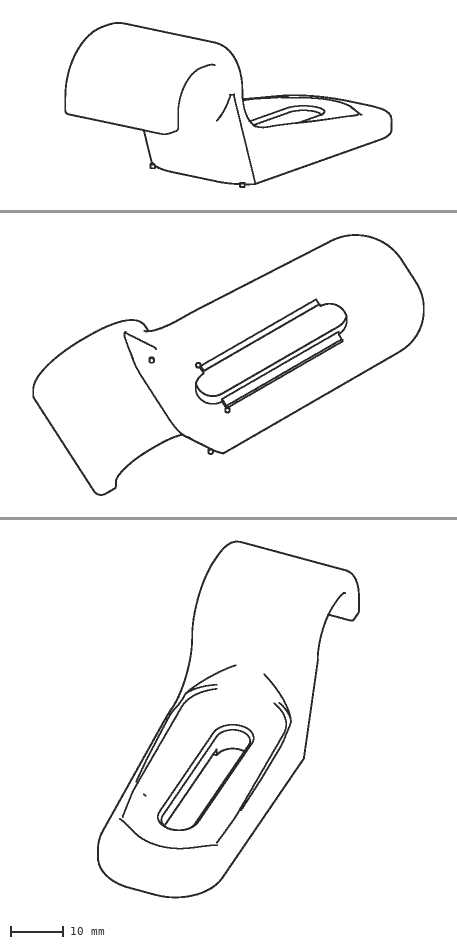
import cadquery as cq
import math

WIDTH = 25.2
HALF_WIDTH = WIDTH / 2
LENGTH = 77.6

HOOK_RADIUS = 11.7
HOOK_WALL = 4.3
HOOK_CENTRE_Z = 19.55
HOOK_HALF_SPAN = HALF_WIDTH
HOOK_END_Z = 16.15
HOOK_TOP_Z = HOOK_CENTRE_Z + HOOK_RADIUS
CROWN_HALF = HOOK_HALF_SPAN - HOOK_RADIUS
BORE_RADIUS = HOOK_RADIUS - HOOK_WALL
BORE_HALF_SPAN = HOOK_HALF_SPAN - HOOK_WALL

TIP_Y = LENGTH - HOOK_HALF_SPAN
TIP_CORNER_RADIUS = 9.85
SHOULDER_Z = 10.1
THROAT_RADIUS = 8.9
SHOULDER_END_Y = 22.1
SLOPE_ANGLE = math.radians(9.5)
CREST_RADIUS = 19.4
CREST_END_Y = SHOULDER_END_Y + CREST_RADIUS * math.sin(SLOPE_ANGLE)
CREST_END_Z = SHOULDER_Z - CREST_RADIUS * (1 - math.cos(SLOPE_ANGLE))

HEEL_Y = 12.65
HEEL_LEAN = 0.355
HEEL_FLAT_HALF = 5.5
HEEL_ARC_MIDDLE = math.radians(30)
LEDGE_START_Z = 17.45
LEDGE_Z = 13.6
LEDGE_RADIUS = 3.1

FLOOR_Z = 5.35
RECESS_CENTRE_Y = 20.9
RECESS_RADIUS = 8.6
RECESS_FLARE_Y = 43.6
RECESS_END_Y = 52.1
RECESS_END_HALF_WIDTH = 9.8
LIP_FOOT_HALF_WIDTH = 10.6
LIP_FOOT_DROP = 0.85
LIP_FOOT_RISE = 0.2
LIP_END_HALF_WIDTH = 10.25
MOUTH_HALF_WIDTH = 11.7
MOUTH_DROP = 0.195
MOUTH_RISE = 0.4
MOUTH_END_DEPTH = 8.15
RECESS_FLOOR_FILLET = 0.8
SLOT_FAR_Y = 47.1
SLOT_RADIUS = 3.3
SLOT_CHAMFER = 0.7
RELIEF_HALF_WIDTH = 5.0
RELIEF_DEPTH = 1.5
PAD_END_Y = 56.7
PAD_RADIUS = 10.3
PAD_SIDE_ANGLE = math.radians(35)
PAD_HALF_WIDTH = 10.25
PAD_DRAFT = 45
PAD_DEPTH = 2.3
PAD_FILLET = 1.2
PAD_FOOT_TOLERANCE = 0.12

OUTER_FILLET = 1.6
SMALL_FILLET = 0.6
HOOK_END_FILLET = 0.58
BASE_FILLET = 0.5

FOOT_HEIGHT = 0.2
FOOT_RADIUS = 0.5
FOOT_SPOTS = [(5.35, 20.9), (10.9, 13.7)]

ARC_45 = math.sqrt(0.5)
TOLERANCE = 0.01


def heel_y(z):
    """Y of the slanted heel face at height z."""
    return HEEL_Y - HEEL_LEAN * z


def slope_z(y):
    """Height of the sloping top of the base at y."""
    return CREST_END_Z - (y - CREST_END_Y) * math.tan(SLOPE_ANGLE)


def extrude_profile(profile):
    """Extrude a closed YZ profile over the full width, centred on X."""
    return profile.close().extrude(HALF_WIDTH, both=True)


def fillet_edges(body, radius, is_wanted):
    """Fillet every edge of the body for which is_wanted(edge) is true."""
    wanted = [edge for edge in body.edges().vals() if is_wanted(edge)]
    return body.newObject(wanted).fillet(radius)


def is_outer_edge(edge):
    """True for the rim of the top: the side edges along it and the edges around the tip."""
    box = edge.BoundingBox()
    centre = edge.Center()
    on_underside = box.zmax < TOLERANCE
    on_heel = abs(centre.y - heel_y(centre.z)) < TOLERANCE
    below_hook = abs(box.zmax - HOOK_END_Z) < TOLERANCE
    across = box.xlen > WIDTH - TOLERANCE
    upright = box.xlen + box.ylen < TOLERANCE and centre.y > HOOK_HALF_SPAN + TOLERANCE
    return not (on_underside or on_heel or below_hook or across or upright)


def make_outer_body():
    """Base and hook with the bore still filled, rounded along the upper outer edges."""
    throat_y = HOOK_HALF_SPAN + THROAT_RADIUS
    throat_z = SHOULDER_Z + THROAT_RADIUS
    half_slope = SLOPE_ANGLE / 2
    profile = (
        cq.Workplane("YZ")
        .moveTo(HEEL_Y, 0)
        .lineTo(TIP_Y, 0)
        .lineTo(TIP_Y, slope_z(TIP_Y))
        .lineTo(CREST_END_Y, CREST_END_Z)
        .threePointArc(
            (
                SHOULDER_END_Y + CREST_RADIUS * math.sin(half_slope),
                SHOULDER_Z - CREST_RADIUS * (1 - math.cos(half_slope)),
            ),
            (SHOULDER_END_Y, SHOULDER_Z),
        )
        .lineTo(throat_y, SHOULDER_Z)
        .threePointArc(
            (throat_y - THROAT_RADIUS * ARC_45, throat_z - THROAT_RADIUS * ARC_45),
            (HOOK_HALF_SPAN, throat_z),
        )
        .lineTo(HOOK_HALF_SPAN, HOOK_CENTRE_Z)
        .threePointArc(
            (CROWN_HALF + HOOK_RADIUS * ARC_45, HOOK_CENTRE_Z + HOOK_RADIUS * ARC_45),
            (CROWN_HALF, HOOK_TOP_Z),
        )
        .lineTo(-CROWN_HALF, HOOK_TOP_Z)
        .threePointArc(
            (-CROWN_HALF - HOOK_RADIUS * ARC_45, HOOK_CENTRE_Z + HOOK_RADIUS * ARC_45),
            (-HOOK_HALF_SPAN, HOOK_CENTRE_Z),
        )
        .lineTo(-HOOK_HALF_SPAN, HOOK_END_Z)
        .lineTo(heel_y(HOOK_END_Z), HOOK_END_Z)
    )
    body = extrude_profile(profile)
    body = body.faces(">Y").edges("|Z").fillet(TIP_CORNER_RADIUS)
    return fillet_edges(body, OUTER_FILLET, is_outer_edge)


def make_bore(depth_z, wall_end_z, heel_side_y):
    """Space under the hook, open downwards to depth_z.

    On the heel side its wall drops straight to wall_end_z, then runs to heel_side_y.
    """
    profile = (
        cq.Workplane("YZ")
        .moveTo(-BORE_HALF_SPAN, depth_z)
        .lineTo(-BORE_HALF_SPAN, HOOK_CENTRE_Z)
        .threePointArc(
            (-CROWN_HALF - BORE_RADIUS * ARC_45, HOOK_CENTRE_Z + BORE_RADIUS * ARC_45),
            (-CROWN_HALF, HOOK_CENTRE_Z + BORE_RADIUS),
        )
        .lineTo(CROWN_HALF, HOOK_CENTRE_Z + BORE_RADIUS)
        .threePointArc(
            (CROWN_HALF + BORE_RADIUS * ARC_45, HOOK_CENTRE_Z + BORE_RADIUS * ARC_45),
            (BORE_HALF_SPAN, HOOK_CENTRE_Z),
        )
        .lineTo(BORE_HALF_SPAN, wall_end_z)
        .lineTo(heel_side_y, depth_z)
    )
    return extrude_profile(profile)


def make_heel_corner():
    """Slanted waste piece that rounds the heel at +X, up to the hook centre."""
    reach = HALF_WIDTH + 0.8 - HEEL_FLAT_HALF
    arc_x = TIP_CORNER_RADIUS * math.sin(HEEL_ARC_MIDDLE)
    arc_y = TIP_CORNER_RADIUS * (1 - math.cos(HEEL_ARC_MIDDLE))
    end_y = TIP_CORNER_RADIUS - math.sqrt(TIP_CORNER_RADIUS**2 - reach**2)
    outline = (
        cq.Workplane("XY")
        .moveTo(HEEL_FLAT_HALF, HEEL_Y)
        .threePointArc(
            (HEEL_FLAT_HALF + arc_x, HEEL_Y + arc_y), (HEEL_FLAT_HALF + reach, HEEL_Y + end_y)
        )
        .lineTo(HEEL_FLAT_HALF + reach, 0)
        .lineTo(HEEL_FLAT_HALF, 0)
        .close()
        .val()
    )
    rise = cq.Vector(0, -HEEL_LEAN * HOOK_CENTRE_Z, HOOK_CENTRE_Z)
    return cq.Workplane(cq.Solid.extrudeLinear(outline, [], rise))


def is_bore_rim(edge):
    """True for the edges where the bore meets the two sides of the hook."""
    box = edge.BoundingBox()
    on_side = abs(edge.Center().x) > HALF_WIDTH - TOLERANCE
    in_bore = max(-box.ymin, box.ymax) < BORE_HALF_SPAN + TOLERANCE
    below_crown = box.zmax < HOOK_CENTRE_Z + BORE_RADIUS + TOLERANCE
    return on_side and in_bore and below_crown


def is_free_end_edge(edge):
    """True for the edges of the flat end of the hook."""
    return abs(edge.BoundingBox().zmax - HOOK_END_Z) < TOLERANCE


def is_ledge_edge(edge):
    """True for the curved edge between the ledge and the heel face."""
    centre = edge.Center()
    near_ledge = abs(centre.z - LEDGE_Z) < 0.8 and abs(centre.y - heel_y(LEDGE_Z)) < 0.8
    return near_ledge and edge.BoundingBox().xlen > HEEL_FLAT_HALF


def make_base_space():
    """Space the base may fill: behind the origin and below the hook centre."""
    return cq.Workplane("XY").box(2 * WIDTH, LENGTH, HOOK_CENTRE_Z, centered=(True, False, False))


def make_hook(outer_body):
    """Upper ring and free end of the hook, with rounded bore rims."""
    straight_bore = make_bore(-0.8, 0, BORE_HALF_SPAN)
    hook = fillet_edges(outer_body.cut(straight_bore), SMALL_FILLET, is_bore_rim)
    hook = hook.cut(make_base_space())
    return fillet_edges(hook, HOOK_END_FILLET, is_free_end_edge)


def make_base(outer_body):
    """Wedge and heel, with a rounded ledge under the hook and a rounded underside."""
    ledge_bore = make_bore(LEDGE_Z, LEDGE_START_Z, heel_y(LEDGE_Z))
    corner = make_heel_corner()
    base = outer_body.cut(ledge_bore).intersect(make_base_space())
    base = base.cut(corner).cut(corner.mirror("YZ"))
    base = fillet_edges(base, LEDGE_RADIUS, is_ledge_edge)
    return base.faces("<Z").fillet(BASE_FILLET)


def make_pad():
    """Raised pad above the lower slope: a rounded nose with straight flanks and a drafted side."""
    nose_centre_y = PAD_END_Y - PAD_RADIUS
    tangent_x = PAD_RADIUS * math.sin(PAD_SIDE_ANGLE)
    tangent_y = nose_centre_y + PAD_RADIUS * math.cos(PAD_SIDE_ANGLE)
    flank_end_y = tangent_y - (PAD_HALF_WIDTH - tangent_x) * math.tan(PAD_SIDE_ANGLE)
    return (
        cq.Workplane("XY")
        .workplane(offset=FLOOR_Z)
        .moveTo(-PAD_HALF_WIDTH, RECESS_CENTRE_Y)
        .lineTo(-PAD_HALF_WIDTH, flank_end_y)
        .lineTo(-tangent_x, tangent_y)
        .threePointArc((0, PAD_END_Y), (tangent_x, tangent_y))
        .lineTo(PAD_HALF_WIDTH, flank_end_y)
        .lineTo(PAD_HALF_WIDTH, RECESS_CENTRE_Y)
        .close()
        .extrude(-PAD_DEPTH, taper=-PAD_DRAFT)
    )


def is_pad_foot(edge):
    """True for the edges where the side of the pad meets the slope."""
    box = edge.BoundingBox()
    centre = edge.Center()
    on_slope = abs(centre.z - slope_z(centre.y)) < PAD_FOOT_TOLERANCE
    under_pad_top = FLOOR_Z - PAD_DEPTH < box.zmin < FLOOR_Z - TOLERANCE
    near_pad = box.ymax < PAD_END_Y + PAD_DEPTH and box.zmax < FLOOR_Z + TOLERANCE
    return on_slope and under_pad_top and near_pad and box.xlen > 0.8


def recess_outline(near_z, far_z, half_width, far_half_width, end_depth):
    """Recess outline on a plane from near_z at the recess centre to far_z at the pad.

    It has an elliptic end by the hook, parallel sides, and sides that flare to meet the pad.
    """
    tilt = math.atan2(near_z - far_z, RECESS_END_Y - RECESS_CENTRE_Y)
    along = cq.Vector(0, math.cos(tilt), -math.sin(tilt))
    normal = cq.Vector(1, 0, 0).cross(along)
    plane = cq.Plane((0, RECESS_CENTRE_Y, near_z), (1, 0, 0), normal.toTuple())
    stretch = 1 / math.cos(tilt)
    flare_y = (RECESS_FLARE_Y - RECESS_CENTRE_Y) * stretch
    end_y = (RECESS_END_Y - RECESS_CENTRE_Y) * stretch
    return (
        cq.Workplane(plane)
        .moveTo(-half_width, 0)
        .ellipseArc(half_width, end_depth * stretch, 180, 360)
        .lineTo(half_width, flare_y)
        .lineTo(far_half_width, end_y)
        .lineTo(-far_half_width, end_y)
        .lineTo(-half_width, flare_y)
        .close()
        .val()
    )


def is_wall_foot(edge):
    """True for the edges around the recess floor, except across its far end."""
    on_floor = edge.BoundingBox().zmax < FLOOR_Z + TOLERANCE
    return on_floor and edge.Center().y < RECESS_END_Y - TOLERANCE


def make_recess():
    """Recess with a flat floor, leaning walls and a bevelled lip that fades out at the pad."""
    top_z = slope_z(RECESS_CENTRE_Y)
    floor = recess_outline(FLOOR_Z, FLOOR_Z, RECESS_RADIUS, RECESS_END_HALF_WIDTH, RECESS_RADIUS)
    lip_foot = recess_outline(
        top_z - LIP_FOOT_DROP,
        FLOOR_Z + LIP_FOOT_RISE,
        LIP_FOOT_HALF_WIDTH,
        LIP_END_HALF_WIDTH,
        MOUTH_END_DEPTH,
    )
    mouth = recess_outline(
        top_z - MOUTH_DROP,
        FLOOR_Z + MOUTH_RISE,
        MOUTH_HALF_WIDTH,
        LIP_END_HALF_WIDTH,
        MOUTH_END_DEPTH,
    )
    walls = cq.Workplane(cq.Solid.makeLoft([floor, lip_foot], True))
    walls = fillet_edges(walls, RECESS_FLOOR_FILLET, is_wall_foot)
    lip = cq.Workplane(cq.Solid.makeLoft([lip_foot, mouth], True))
    above = cq.Solid.extrudeLinear(mouth, [], cq.Vector(0, 0, HOOK_TOP_Z - SHOULDER_Z))
    return walls.union(lip).union(cq.Workplane(above))


def make_slot():
    """Through slot with a chamfered upper rim and a wider relief under its straight sides."""
    length = SLOT_FAR_Y - RECESS_CENTRE_Y
    centre_y = RECESS_CENTRE_Y + length / 2

    def stadium(z, radius):
        sketch = cq.Workplane("XY", origin=(0, centre_y, z))
        return sketch.slot2D(length + 2 * radius, 2 * radius, 90)

    slot = stadium(0, SLOT_RADIUS).extrude(FLOOR_Z)
    rim = stadium(FLOOR_Z, SLOT_RADIUS + SLOT_CHAMFER).extrude(-SLOT_CHAMFER, taper=45)
    underside = cq.Workplane("XY", origin=(0, centre_y, 0))
    relief = underside.rect(2 * RELIEF_HALF_WIDTH, length).extrude(RELIEF_DEPTH)
    return slot.union(rim).union(relief)


def make_feet():
    """Two mirrored pairs of small pads under the base."""
    spots = [(side * x, y) for x, y in FOOT_SPOTS for side in (-1, 1)]
    return (
        cq.Workplane("XY")
        .workplane(offset=-FOOT_HEIGHT)
        .pushPoints(spots)
        .circle(FOOT_RADIUS)
        .extrude(FOOT_HEIGHT + BASE_FILLET)
    )


outer_body = make_outer_body()
result = make_hook(outer_body).union(make_base(outer_body)).union(make_pad())
result = fillet_edges(result, PAD_FILLET, is_pad_foot)
result = result.cut(make_recess()).cut(make_slot()).union(make_feet())